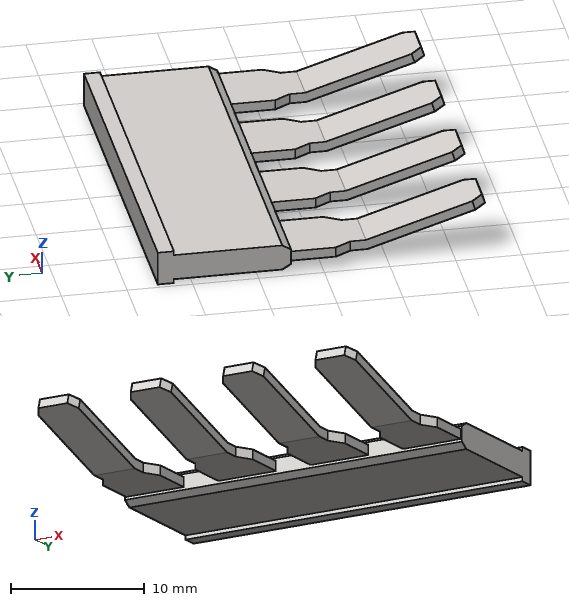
import cadquery as cq
import math

bar_length = 29.2
bar_depth = 10.13
head_depth = 1.23
head_height = 2.7
body_height = 2.05
bevel_depth = 0.67
bevel_drop = 0.4

tongue_count = 4
tongue_pitch = 8.0
tongue_thickness = 0.8
wide_width = 5.0
narrow_width = 3.5
shoulder_start = 13.55
shoulder_end = 14.8
bend_angle = 17.0
corner_width = 0.5
corner_length = 0.88

total_depth = 25.15
total_height = 4.47

slope = math.radians(bend_angle)
half_thickness = tongue_thickness / 2
tip_top_y = -(total_depth - tongue_thickness * math.sin(slope))
tip_top_z = total_height - head_height / 2
tip_bottom_y = -total_depth
tip_bottom_z = tip_top_z - tongue_thickness * math.cos(slope)
bend_top_y = tip_top_y + (tip_top_z - half_thickness) / math.tan(slope)
bend_bottom_y = bend_top_y - tongue_thickness * math.tan(slope / 2)


def make_bar():
    half_head = head_height / 2
    half_body = body_height / 2
    half_face = half_body - bevel_drop
    profile = [
        (0, -half_head),
        (0, half_head),
        (-head_depth, half_head),
        (-head_depth, half_body),
        (-bar_depth + bevel_depth, half_body),
        (-bar_depth, half_face),
        (-bar_depth, -half_face),
        (-bar_depth + bevel_depth, -half_body),
        (-head_depth, -half_body),
        (-head_depth, -half_head),
    ]
    return cq.Workplane("YZ").polyline(profile).close().extrude(bar_length / 2, both=True)


def make_shoulder():
    """Flat, wide root of a tongue, starting inside the bar."""
    half_wide = wide_width / 2
    half_narrow = narrow_width / 2
    root_y = -head_depth
    outline = [
        (-half_wide, root_y),
        (half_wide, root_y),
        (half_wide, -shoulder_start),
        (half_narrow, -shoulder_end),
        (-half_narrow, -shoulder_end),
        (-half_wide, -shoulder_start),
    ]
    return cq.Workplane("XY").polyline(outline).close().extrude(half_thickness, both=True)


def make_blade():
    """Narrow, bent part of a tongue with both tip corners cut off."""
    profile = [
        (-shoulder_start, half_thickness),
        (bend_top_y, half_thickness),
        (tip_top_y, tip_top_z),
        (tip_bottom_y, tip_bottom_z),
        (bend_bottom_y, -half_thickness),
        (-shoulder_start, -half_thickness),
    ]
    blade = cq.Workplane("YZ").polyline(profile).close().extrude(narrow_width / 2, both=True)

    tip_plane = cq.Plane(
        origin=(0, tip_top_y, tip_top_z),
        xDir=(1, 0, 0),
        normal=(0, math.sin(slope), math.cos(slope)),
    )
    for side in (-1, 1):
        edge = side * narrow_width / 2
        corner = [(edge, 0), (edge - side * corner_width, 0), (edge, corner_length)]
        blade = blade.cut(cq.Workplane(tip_plane).polyline(corner).close().extrude(-tongue_thickness))
    return blade


tongue = make_shoulder().union(make_blade())
result = make_bar()
for index in range(tongue_count):
    tongue_x = (index - (tongue_count - 1) / 2) * tongue_pitch
    result = result.union(tongue.translate((tongue_x, 0, 0)))